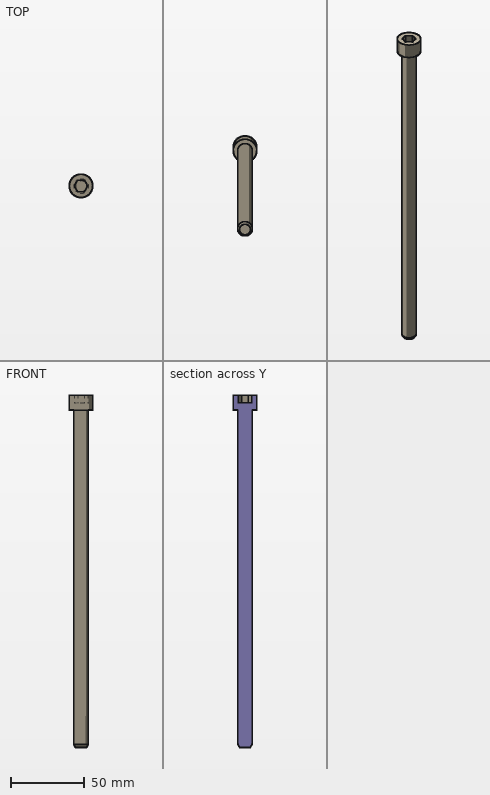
import cadquery as cq
import math

total_length = 240.0
shank_diameter = 10.0
head_diameter = 16.0
head_height = shank_diameter
tip_diameter = 7.5
tip_height = 2.2
socket_across_flats = 8.0
socket_depth = shank_diameter / 2
socket_sides = 6

head_top = head_height
tip_end = head_height - total_length
tip_start = tip_end + tip_height


def screw_body():
    """Head, shank and tapered tip, revolved about Z."""
    half_profile = [
        (0, head_top),
        (head_diameter / 2, head_top),
        (head_diameter / 2, 0),
        (shank_diameter / 2, 0),
        (shank_diameter / 2, tip_start),
        (tip_diameter / 2, tip_end),
        (0, tip_end),
    ]
    return cq.Workplane("XZ").polyline(half_profile).close().revolve(360, (0, 0, 0), (0, 1, 0))


def hex_socket():
    """Hexagonal key recess with two corners on the X axis."""
    across_corners = socket_across_flats / math.cos(math.pi / socket_sides)
    return (
        cq.Workplane("XY", origin=(0, 0, head_top))
        .polygon(socket_sides, across_corners)
        .extrude(-socket_depth)
    )


result = screw_body().cut(hex_socket())